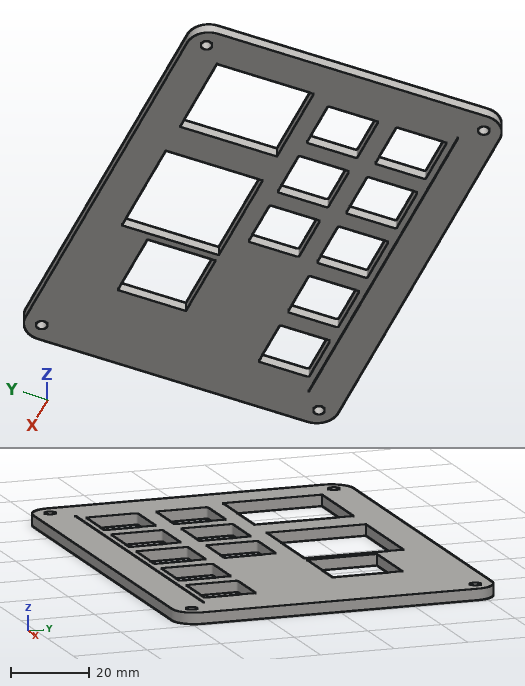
import cadquery as cq

LENGTH = 117.6
WIDTH = 87.0
THICKNESS = 3.0
CORNER_RADIUS = 6.0

HOLE_DIAMETER = 2.9
HOLE_INSET = 4.9

MARGIN = 10.0
MARGIN_LEFT = -LENGTH / 2 + MARGIN
MARGIN_RIGHT = LENGTH / 2 - MARGIN
MARGIN_TOP = WIDTH / 2 - MARGIN
MARGIN_BOTTOM = -WIDTH / 2 + MARGIN

WINDOW_BOTTOM = 6.6
TALL_WINDOW_HEIGHT = MARGIN_TOP - WINDOW_BOTTOM
LEFT_WINDOW_LENGTH = 24.1
MIDDLE_WINDOW_LEFT = -15.4
MIDDLE_WINDOW_LENGTH = 28.7
RIGHT_WINDOW_LEFT = 15.4
RIGHT_WINDOW_LENGTH = 19.4
RIGHT_WINDOW_HEIGHT = 18.9

KEY_SIZE = 14.0
KEY_CORNER_RADIUS = 0.5
KEY_PITCH = 19.0
FIRST_KEY_X = -39.2
LOWER_ROW_Y = -24.6
LOWER_ROW_COUNT = 5
UPPER_ROW_COUNT = 3

SLIT_WIDTH = 0.1


def window(left, bottom, length, height):
    """Rectangular through cutter located by its lower left corner."""
    return cq.Workplane("XY").box(length, height, THICKNESS, centered=False).translate((left, bottom, 0))


def key_row(y, count):
    """Row of through cutters with slightly rounded corners."""
    centers = [(FIRST_KEY_X + column * KEY_PITCH, y) for column in range(count)]
    return (
        cq.Workplane("XY")
        .pushPoints(centers)
        .rect(KEY_SIZE, KEY_SIZE)
        .extrude(THICKNESS)
        .edges("|Z")
        .fillet(KEY_CORNER_RADIUS)
    )


plate = (
    cq.Workplane("XY")
    .box(LENGTH, WIDTH, THICKNESS, centered=(True, True, False))
    .edges("|Z")
    .fillet(CORNER_RADIUS)
    .faces(">Z")
    .workplane()
    .rect(LENGTH - 2 * HOLE_INSET, WIDTH - 2 * HOLE_INSET, forConstruction=True)
    .vertices()
    .hole(HOLE_DIAMETER)
)

plate = plate.cut(window(MARGIN_LEFT, WINDOW_BOTTOM, LEFT_WINDOW_LENGTH, TALL_WINDOW_HEIGHT))
plate = plate.cut(window(MIDDLE_WINDOW_LEFT, WINDOW_BOTTOM, MIDDLE_WINDOW_LENGTH, TALL_WINDOW_HEIGHT))
plate = plate.cut(window(RIGHT_WINDOW_LEFT, WINDOW_BOTTOM, RIGHT_WINDOW_LENGTH, RIGHT_WINDOW_HEIGHT))

plate = plate.cut(key_row(LOWER_ROW_Y, LOWER_ROW_COUNT))
plate = plate.cut(key_row(LOWER_ROW_Y + KEY_PITCH, UPPER_ROW_COUNT))

slit_bottom = MARGIN_BOTTOM - SLIT_WIDTH / 2
result = plate.cut(window(MARGIN_LEFT, slit_bottom, MARGIN_RIGHT - MARGIN_LEFT, SLIT_WIDTH))